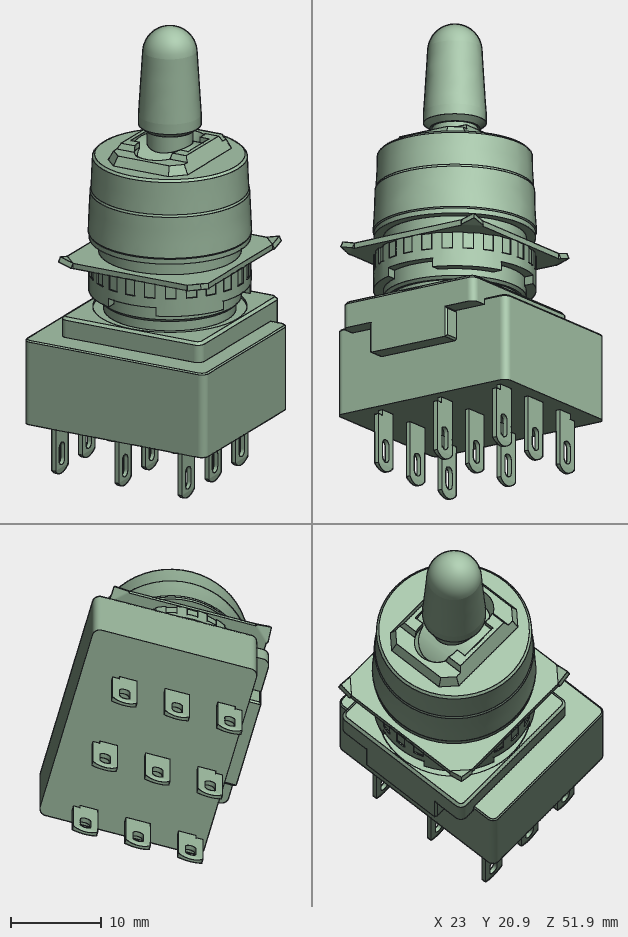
import cadquery as cq
import math


overall_height = 51.9
terminal_length = 6.95
lever_top = overall_height - terminal_length

block_x = 23.0
block_y = 18.8
block_height = 9.85
block_center_x = -0.4
block_center_y = -2.45
body_corner_radius = 0.85
block_top_chamfer = 0.15

base_side = 17.85
base_bottom = 9.15
base_top = 12.2
base_top_chamfer = 0.3
base_recess_radius = 8.5
base_recess_depth = 0.25

latch_width = 10.4
latch_bottom = 5.65
latch_edge_chamfer = 0.2

neck_radius = 7.3
barrel_radius = 7.9
barrel_bottom = 13.15
barrel_chamfer = 0.3
bezel_bottom = 20.35
bezel_rim_radius = 8.95
bezel_rim_top = 20.9
bezel_lip = 0.15
bezel_skirt_radius = 9.05
bezel_shoulder = 25.8
bezel_shoulder_radius = 8.8
bezel_cap_radius = 8.7
bezel_cap_bottom = 26.05
bezel_top = 30.05
bezel_top_radius = 8.55
bezel_top_chamfer = 0.25

guard_x = 10.05
guard_y = 13.0
guard_corner_cut = 1.55
guard_top = 31.7
guard_end_top = 31.1
guard_taper = 29.0
guard_mid_half_y = 3.65
guard_ramp = 0.35
slot_width = 5.05
slot_length = 10.7
slot_floor = 28.55
slot_taper = 28.0
pocket_x = 7.25
pocket_y = 4.65

hub_radius = 6.75
hub_top = 31.5
shaft_radius = 2.55
collar_bottom = 33.0
collar_bottom_radius = 2.75
collar_radius = 3.5
collar_chamfer_top = 33.6
collar_top = 34.7
grip_top = 42.2
grip_top_radius = 3.0

terminal_width = 2.8
terminal_thickness = 0.5
terminal_pitch_x = 8.0
terminal_pitch_y = 6.0
terminal_center_x = block_center_x - 1.55
terminal_center_y = -1.0
terminal_tip_height = 0.7
terminal_tip_thickness = 0.3
terminal_notch_width = 0.8
terminal_notch_height = 0.6
eyelet_width = 1.2
eyelet_length = 2.6
eyelet_center_z = -4.6

nut_bottom = 14.2
nut_top = 18.1
nut_radius = 9.0
nut_slot_width = 5.95
nut_slot_height = 1.0
groove_count = 24
groove_width = 1.2
groove_depth = 0.15
groove_bottom = 16.3

plate_side = 17.85
plate_thickness = 0.6
plate_top = nut_top + plate_thickness
tab_leg = 1.7
tab_angle = 22.0


def make_contact_block():
    return (
        cq.Workplane("XY")
        .center(block_center_x, block_center_y)
        .rect(block_x, block_y)
        .extrude(block_height)
        .edges("|Z")
        .fillet(body_corner_radius)
        .faces(">Z")
        .chamfer(block_top_chamfer)
    )


def make_base():
    base = (
        cq.Workplane("XY", origin=(0, 0, base_bottom))
        .rect(base_side, base_side)
        .extrude(base_top - base_bottom)
        .edges("|Z")
        .fillet(body_corner_radius)
        .faces(">Z")
        .chamfer(base_top_chamfer)
    )
    recess = (
        cq.Workplane("XY", origin=(0, 0, base_top - base_recess_depth))
        .circle(base_recess_radius)
        .extrude(base_recess_depth)
    )
    return base.cut(recess)


def make_latch():
    return (
        cq.Workplane("XY", origin=(0, base_side / 4, latch_bottom))
        .rect(latch_width, base_side / 2)
        .extrude(base_bottom - latch_bottom)
        .faces("<X or >X")
        .chamfer(latch_edge_chamfer)
    )


def make_barrel_and_bezel():
    profile = [
        (0, base_bottom),
        (neck_radius, base_bottom),
        (neck_radius, barrel_bottom),
        (barrel_radius - barrel_chamfer, barrel_bottom),
        (barrel_radius, barrel_bottom + barrel_chamfer),
        (barrel_radius, bezel_bottom),
        (bezel_rim_radius, bezel_bottom),
        (bezel_rim_radius, bezel_rim_top),
        (bezel_skirt_radius, bezel_rim_top + bezel_lip),
        (bezel_shoulder_radius, bezel_shoulder),
        (bezel_cap_radius, bezel_cap_bottom),
        (bezel_top_radius, bezel_top - bezel_top_chamfer),
        (bezel_top_radius - bezel_top_chamfer, bezel_top),
        (0, bezel_top),
    ]
    return cq.Workplane("XZ").polyline(profile).close().revolve(360, (0, 0), (0, 1))


def make_guard():
    half_x = guard_x / 2
    half_y = guard_y / 2
    quarter = [(half_x, half_y - guard_corner_cut), (half_x - guard_corner_cut, half_y)]
    outline = quarter + [(-x, y) for x, y in reversed(quarter)]
    outline += [(-x, -y) for x, y in outline]
    guard = (
        cq.Workplane("XY", origin=(0, 0, bezel_top))
        .polyline(outline)
        .close()
        .extrude(guard_top - bezel_top, taper=guard_taper)
    )
    low_half_y = guard_mid_half_y + guard_ramp
    side_profile = [
        (-guard_y / 2, bezel_top),
        (guard_y / 2, bezel_top),
        (guard_y / 2, guard_end_top),
        (low_half_y, guard_end_top),
        (guard_mid_half_y, guard_top),
        (-guard_mid_half_y, guard_top),
        (-low_half_y, guard_end_top),
        (-guard_y / 2, guard_end_top),
    ]
    envelope = cq.Workplane("YZ").polyline(side_profile).close().extrude(guard_x / 2, both=True)
    return guard.intersect(envelope)


def make_lever_opening():
    slot = (
        cq.Workplane("XY", origin=(0, 0, guard_end_top))
        .slot2D(slot_length, slot_width, 90)
        .extrude(slot_floor - guard_end_top, taper=slot_taper)
    )
    upper = (
        cq.Workplane("XY", origin=(0, 0, guard_end_top))
        .slot2D(slot_length, slot_width, 90)
        .extrude(guard_top - guard_end_top)
    )
    pocket = (
        cq.Workplane("XY", origin=(0, 0, slot_floor))
        .rect(pocket_x, pocket_y)
        .extrude(guard_top - slot_floor)
    )
    return slot.union(upper).union(pocket)


def make_hub():
    hub = (
        cq.Workplane("YZ")
        .center(0, hub_top - hub_radius)
        .circle(hub_radius)
        .extrude(pocket_x / 2, both=True)
    )
    return hub.intersect(make_lever_opening())


def make_lever():
    cap_height = lever_top - grip_top
    cap_radius = (grip_top_radius**2 + cap_height**2) / (2 * cap_height)
    cap_mid_angle = math.asin(grip_top_radius / cap_radius) / 2
    cap_middle = (
        cap_radius * math.sin(cap_mid_angle),
        lever_top - cap_radius * (1 - math.cos(cap_mid_angle)),
    )
    return (
        cq.Workplane("XZ")
        .moveTo(0, slot_floor)
        .lineTo(shaft_radius, slot_floor)
        .lineTo(shaft_radius, collar_bottom)
        .lineTo(collar_bottom_radius, collar_bottom)
        .lineTo(collar_radius, collar_chamfer_top)
        .lineTo(collar_radius, collar_top)
        .lineTo(grip_top_radius, grip_top)
        .threePointArc(cap_middle, (0, lever_top))
        .close()
        .revolve(360, (0, 0), (0, 1))
    )


def make_terminal(notch_side):
    """Terminal blade in the YZ plane; notch_side is +1, 0 or -1 along Y."""
    half_width = terminal_width / 2
    shoulder_z = terminal_tip_height - terminal_length
    blade = (
        cq.Workplane("YZ")
        .moveTo(-half_width, 0)
        .lineTo(-half_width, shoulder_z)
        .threePointArc((0, -terminal_length), (half_width, shoulder_z))
        .lineTo(half_width, 0)
        .close()
        .extrude(terminal_thickness / 2, both=True)
    )
    eyelet = (
        cq.Workplane("YZ")
        .center(0, eyelet_center_z)
        .slot2D(eyelet_length, eyelet_width, 90)
        .extrude(terminal_thickness, both=True)
    )
    half_thickness = terminal_thickness / 2
    half_tip = terminal_tip_thickness / 2
    tapered_edge = (
        cq.Workplane("XZ")
        .polyline([
            (-half_thickness, 0),
            (-half_thickness, shoulder_z),
            (-half_tip, -terminal_length),
            (half_tip, -terminal_length),
            (half_thickness, shoulder_z),
            (half_thickness, 0),
        ])
        .close()
        .extrude(half_width, both=True)
    )
    blade = blade.cut(eyelet).intersect(tapered_edge)
    if notch_side:
        notch_center = notch_side * (half_width - terminal_notch_width / 2)
        notch = cq.Workplane("XY").box(
            terminal_thickness, terminal_notch_width, terminal_notch_height, centered=(True, True, False)
        )
        blade = blade.cut(notch.translate((0, notch_center, -terminal_notch_height)))
    return blade


def make_switch():
    switch = make_contact_block().union(make_base()).union(make_latch())
    switch = switch.union(make_barrel_and_bezel()).union(make_guard())
    switch = switch.cut(make_lever_opening()).union(make_hub()).union(make_lever())
    for column in (-1, 0, 1):
        for row in (-1, 0, 1):
            x = terminal_center_x + column * terminal_pitch_x
            y = terminal_center_y + row * terminal_pitch_y
            switch = switch.union(make_terminal(row).translate((x, y, 0)))
    return switch


def make_nut():
    nut = (
        cq.Workplane("XY", origin=(0, 0, nut_bottom))
        .circle(nut_radius)
        .circle(barrel_radius)
        .extrude(nut_top - nut_bottom)
    )
    wrench_slot = (
        cq.Workplane("XY", origin=(0, 0, nut_bottom))
        .rect(nut_slot_width, 2 * nut_radius + nut_slot_width)
        .extrude(nut_slot_height)
    )
    grooves = (
        cq.Workplane("XY", origin=(0, 0, groove_bottom))
        .polarArray(nut_radius, 0, 360, groove_count)
        .rect(2 * groove_depth, groove_width)
        .extrude(nut_top - groove_bottom)
    )
    crossed_slot = wrench_slot.rotate((0, 0, 0), (0, 0, 1), 90)
    return nut.cut(wrench_slot).cut(crossed_slot).cut(grooves)


def make_bent_tab():
    """Bent-up triangular corner tab at +X +Y, hinged on the top face of the plate."""
    half_side = plate_side / 2
    bend_start = half_side - tab_leg
    bend_middle = half_side - tab_leg / 2
    bend_length = tab_leg * math.sqrt(2)
    hinge_start = (half_side, bend_start, plate_top)
    hinge_end = (bend_start, half_side, plate_top)
    flat_tab = (
        cq.Workplane("XY", origin=(0, 0, nut_top))
        .polyline([(half_side, bend_start), (half_side, half_side), (bend_start, half_side)])
        .close()
        .extrude(plate_thickness)
    )
    bend_plane = cq.Plane(origin=(bend_middle, bend_middle, plate_top), xDir=(-1, 1, 0), normal=(1, 1, 0))
    bend = (
        cq.Workplane(bend_plane)
        .center(0, -plate_thickness / 2)
        .rect(bend_length, plate_thickness)
        .revolve(tab_angle, (0, plate_thickness / 2), (-1, plate_thickness / 2))
    )
    return flat_tab.rotate(hinge_end, hinge_start, tab_angle).union(bend)


def make_locking_plate():
    plate = (
        cq.Workplane("XY", origin=(0, 0, nut_top))
        .rect(plate_side, plate_side)
        .extrude(plate_thickness)
        .edges("|Z")
        .chamfer(tab_leg)
    )
    tab = make_bent_tab()
    for index in range(4):
        plate = plate.union(tab.rotate((0, 0, 0), (0, 0, 1), index * 90))
    bore = cq.Workplane("XY", origin=(0, 0, nut_top)).circle(barrel_radius).extrude(plate_thickness)
    return plate.cut(bore)


switch = make_switch()
nut = make_nut()
locking_plate = make_locking_plate()
result = cq.Compound.makeCompound([switch.val(), nut.val(), locking_plate.val()])